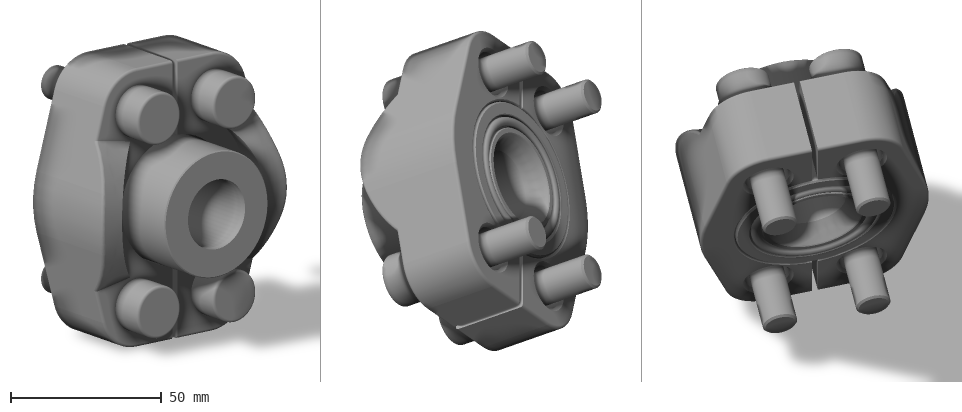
import cadquery as cq
import math


SCREW_SPACING_Y = 31.8
SCREW_SPACING_Z = 66.7
SCREW_Y = SCREW_SPACING_Y / 2
SCREW_Z = SCREW_SPACING_Z / 2
SCREW_PLACES = [(y, z) for y in (-SCREW_Y, SCREW_Y) for z in (-SCREW_Z, SCREW_Z)]

CLAMP_HEIGHT = 96.0
CLAMP_WIDTH = 78.0
CLAMP_DEPTH = 27.2
CLAMP_FILLET = 1.0
CLAMP_GAP = 2.0
BULGE_RADIUS = 38.3
BULGE_TAPER = 6.8
BULGE_RELIEF_DIAMETER = 60.1
NECK_BORE_DIAMETER = 44.7
FLANGE_BORE_DIAMETER = 54.5
FLANGE_BORE_CHAMFER = 0.6
SCREW_HOLE_DIAMETER = 15.0
SCREW_HOLE_CHAMFER = 1.2

HEAD_DIAMETER = 18.0
HEAD_LENGTH = 12.0
HEAD_FILLET = 1.0
THREAD_DIAMETER = 11.7
GRIP_DIAMETER = 12.0
GRIP_LENGTH = 13.4
SHANK_LENGTH = 45.0
SHANK_FILLET = 0.8
TIP_DIAMETER = 10.3
TIP_LENGTH = 0.7

HUB_LENGTH = 49.9
FLANGE_DIAMETER = 54.0
FLANGE_THICKNESS = 10.3
FLANGE_CHAMFER = 0.6
FLANGE_PROUD = 0.3
TUBE_DIAMETER = 43.6
TUBE_CHAMFER = 0.4
TUBE_ROOT_FILLET = 0.6
BORE_DIAMETER = 24.0
MOUTH_DIAMETER = 31.7
MOUTH_DEPTH = 6.4
GROOVE_OUTER_DIAMETER = 44.7
GROOVE_INNER_DIAMETER = 35.8
EDGE_BREAK = 0.3

RING_OUTER_DIAMETER = 43.5
RING_SECTION = 3.1
RING_PROUD = 0.7

HUB_REAR = -FLANGE_PROUD
FLANGE_FRONT = HUB_REAR + FLANGE_THICKNESS
GROOVE_DEPTH = RING_SECTION - RING_PROUD


def turned(profile):
    """Solid of revolution about X from a closed profile in the XY plane."""
    return profile.revolve(360, (0, 0, 0), (1, 0, 0))


def disc(diameter, x_start, x_end):
    """Solid cylinder about the pipe axis."""
    plane = cq.Workplane("YZ", origin=(x_start, 0, 0))
    return plane.circle(diameter / 2).extrude(x_end - x_start)


def chamfered_hole(diameter, depth, chamfer, y=0, z=0):
    """Cutter for a hole from the rear clamp face with a 45 degree chamfer at its mouth."""
    radius = diameter / 2
    profile = [(0, 0), (0, radius + chamfer), (chamfer, radius), (depth, radius), (depth, 0)]
    return turned(cq.Workplane("XY").polyline(profile).close()).translate((0, y, z))


def clamp_outline():
    """Outline of both halves: corner arcs about the screws joined by tangents to arcs about the axis."""
    side_radius = CLAMP_WIDTH / 2
    corner_radius = CLAMP_HEIGHT / 2 - SCREW_Z
    screw_distance = math.hypot(SCREW_Y, SCREW_Z)
    screw_angle = math.atan2(SCREW_Z, SCREW_Y)
    tangent_angle = screw_angle - math.acos((side_radius - corner_radius) / screw_distance)
    corner_angle = (tangent_angle + math.pi / 2) / 2

    side_y = side_radius * math.cos(tangent_angle)
    side_z = side_radius * math.sin(tangent_angle)
    flank_y = SCREW_Y + corner_radius * math.cos(tangent_angle)
    flank_z = SCREW_Z + corner_radius * math.sin(tangent_angle)
    corner_y = SCREW_Y + corner_radius * math.cos(corner_angle)
    corner_z = SCREW_Z + corner_radius * math.sin(corner_angle)
    top_z = CLAMP_HEIGHT / 2

    outline = cq.Workplane("YZ").moveTo(side_y, -side_z)
    outline = outline.threePointArc((side_radius, 0), (side_y, side_z))
    outline = outline.lineTo(flank_y, flank_z)
    outline = outline.threePointArc((corner_y, corner_z), (SCREW_Y, top_z))
    outline = outline.lineTo(-SCREW_Y, top_z)
    outline = outline.threePointArc((-corner_y, corner_z), (-flank_y, flank_z))
    outline = outline.lineTo(-side_y, side_z)
    outline = outline.threePointArc((-side_radius, 0), (-side_y, -side_z))
    outline = outline.lineTo(-flank_y, -flank_z)
    outline = outline.threePointArc((-corner_y, -corner_z), (-SCREW_Y, -top_z))
    outline = outline.lineTo(SCREW_Y, -top_z)
    outline = outline.threePointArc((corner_y, -corner_z), (flank_y, -flank_z))
    return outline.close()


def side_bulge(side):
    """Cone about Y on one side (+1 or -1), narrowing towards the pipe axis."""
    length = CLAMP_WIDTH / 2
    inner_radius = BULGE_RADIUS - length * math.tan(math.radians(BULGE_TAPER))
    cone = cq.Solid.makeCone(inner_radius, BULGE_RADIUS, length, cq.Vector(0, 0, 0), cq.Vector(0, side, 0))
    return cq.Workplane(obj=cone)


def clamp_blank():
    """Both halves in one piece, without holes: a plate with a rounded bulge on each side."""
    plate = clamp_outline().extrude(CLAMP_DEPTH)
    bulges = side_bulge(1).union(side_bulge(-1))
    bulges = bulges.intersect(clamp_outline().extrude(BULGE_RADIUS))
    blank = plate.union(bulges)
    return blank.faces("#X").edges("not(|X)").fillet(CLAMP_FILLET)


def clamp_half(side):
    """One clamp half on the +Y (side = 1) or -Y (side = -1) side of the gap."""
    half_space = cq.Workplane("XY").box(2 * BULGE_RADIUS, CLAMP_WIDTH, CLAMP_HEIGHT)
    half_space = half_space.translate((BULGE_RADIUS, side * (CLAMP_WIDTH + CLAMP_GAP) / 2, 0))
    half = clamp_blank().intersect(half_space)
    half = half.cut(disc(BULGE_RELIEF_DIAMETER, CLAMP_DEPTH, BULGE_RADIUS))
    half = half.cut(disc(NECK_BORE_DIAMETER, 0, CLAMP_DEPTH))
    half = half.cut(chamfered_hole(FLANGE_BORE_DIAMETER, FLANGE_FRONT, FLANGE_BORE_CHAMFER))
    for y, z in SCREW_PLACES:
        if y * side > 0:
            half = half.cut(chamfered_hole(SCREW_HOLE_DIAMETER, CLAMP_DEPTH, SCREW_HOLE_CHAMFER, y, z))
    return half


def screw(y, z):
    """Cap screw seated on the front clamp face, its plain grip and thinner thread pointing to -X."""
    head_radius = HEAD_DIAMETER / 2
    thread_radius = THREAD_DIAMETER / 2
    grip_radius = GRIP_DIAMETER / 2
    tip_radius = TIP_DIAMETER / 2
    tip_x = CLAMP_DEPTH - SHANK_LENGTH
    head_end = CLAMP_DEPTH + HEAD_LENGTH

    profile = cq.Workplane("XY").moveTo(tip_x, 0)
    profile = profile.lineTo(tip_x, tip_radius)
    profile = profile.lineTo(tip_x + TIP_LENGTH, thread_radius)
    profile = profile.lineTo(CLAMP_DEPTH - GRIP_LENGTH, thread_radius)
    profile = profile.lineTo(CLAMP_DEPTH - GRIP_LENGTH, grip_radius)
    profile = profile.lineTo(CLAMP_DEPTH - SHANK_FILLET, grip_radius)
    profile = profile.radiusArc((CLAMP_DEPTH, grip_radius + SHANK_FILLET), -SHANK_FILLET)
    profile = profile.lineTo(CLAMP_DEPTH, head_radius)
    profile = profile.lineTo(head_end - HEAD_FILLET, head_radius)
    profile = profile.radiusArc((head_end, head_radius - HEAD_FILLET), HEAD_FILLET)
    profile = profile.lineTo(head_end, 0).close()
    return turned(profile).translate((0, y, z))


def hub():
    """Tube with a flange, an O-ring groove in the rear face and a tapered bore mouth."""
    front_x = HUB_REAR + HUB_LENGTH
    groove_floor = HUB_REAR + GROOVE_DEPTH
    edge_x = HUB_REAR + EDGE_BREAK
    flange_radius = FLANGE_DIAMETER / 2
    flange_rim = flange_radius - FLANGE_CHAMFER
    tube_radius = TUBE_DIAMETER / 2
    root_x = FLANGE_FRONT + TUBE_ROOT_FILLET
    bore_radius = BORE_DIAMETER / 2
    mouth_radius = MOUTH_DIAMETER / 2
    groove_outer = GROOVE_OUTER_DIAMETER / 2
    groove_inner = GROOVE_INNER_DIAMETER / 2

    profile = cq.Workplane("XY").moveTo(front_x, bore_radius)
    profile = profile.lineTo(edge_x + MOUTH_DEPTH, bore_radius)
    profile = profile.lineTo(edge_x, mouth_radius)
    profile = profile.lineTo(HUB_REAR, mouth_radius + EDGE_BREAK)
    profile = profile.lineTo(HUB_REAR, groove_inner - EDGE_BREAK)
    profile = profile.lineTo(edge_x, groove_inner)
    profile = profile.lineTo(groove_floor, groove_inner)
    profile = profile.lineTo(groove_floor, groove_outer)
    profile = profile.lineTo(edge_x, groove_outer)
    profile = profile.lineTo(HUB_REAR, groove_outer + EDGE_BREAK)
    profile = profile.lineTo(HUB_REAR, flange_rim)
    profile = profile.lineTo(HUB_REAR + FLANGE_CHAMFER, flange_radius)
    profile = profile.lineTo(FLANGE_FRONT - FLANGE_CHAMFER, flange_radius)
    profile = profile.lineTo(FLANGE_FRONT, flange_rim)
    profile = profile.lineTo(FLANGE_FRONT, tube_radius + TUBE_ROOT_FILLET)
    profile = profile.radiusArc((root_x, tube_radius), -TUBE_ROOT_FILLET)
    profile = profile.lineTo(front_x - TUBE_CHAMFER, tube_radius)
    profile = profile.lineTo(front_x, tube_radius - TUBE_CHAMFER).close()
    return turned(profile)


def o_ring():
    """Ring resting on the groove floor and standing proud of the hub's rear face."""
    section_x = HUB_REAR + GROOVE_DEPTH - RING_SECTION / 2
    section_y = (RING_OUTER_DIAMETER - RING_SECTION) / 2
    return turned(cq.Workplane("XY").moveTo(section_x, section_y).circle(RING_SECTION / 2))


clamps = [clamp_half(side) for side in (1, -1)]
screws = [screw(y, z) for y, z in SCREW_PLACES]

result = cq.Compound.makeCompound(
    [
        *[clamp.val() for clamp in clamps],
        *[each_screw.val() for each_screw in screws],
        hub().val(),
        o_ring().val(),
    ]
)